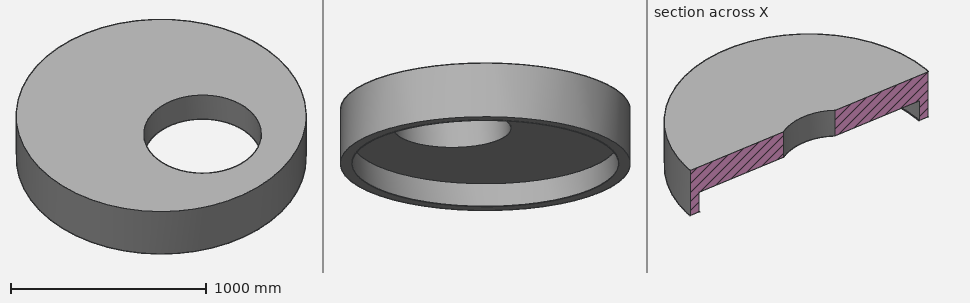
import cadquery as cq

cover_diameter = 1480.0
cover_height = 290.0
deck_thickness = 165.0
mouth_diameter = 1360.0
lip_width = 2.0
lip_height = 4.0
opening_diameter = 600.0
opening_offset_x = 255.0

recess_depth = cover_height - deck_thickness
mouth_radius = mouth_diameter / 2
recess_radius = mouth_radius + lip_width


def make_cover():
    """Solid disc resting on the XY plane, centred on the Z axis."""
    return cq.Workplane("XY").circle(cover_diameter / 2).extrude(cover_height)


def make_recess():
    """Round recess in the underside, narrowed at its mouth by a small sloped lip."""
    half_profile = [
        (0, 0),
        (mouth_radius, 0),
        (recess_radius, lip_height),
        (recess_radius, recess_depth),
        (0, recess_depth),
    ]
    return cq.Workplane("XZ").polyline(half_profile).close().revolve(360, (0, 0, 0), (0, 1, 0))


def make_opening():
    """Eccentric access opening, running the full height of the cover."""
    return (
        cq.Workplane("XY")
        .center(opening_offset_x, 0)
        .circle(opening_diameter / 2)
        .extrude(cover_height)
    )


result = make_cover().cut(make_recess()).cut(make_opening())